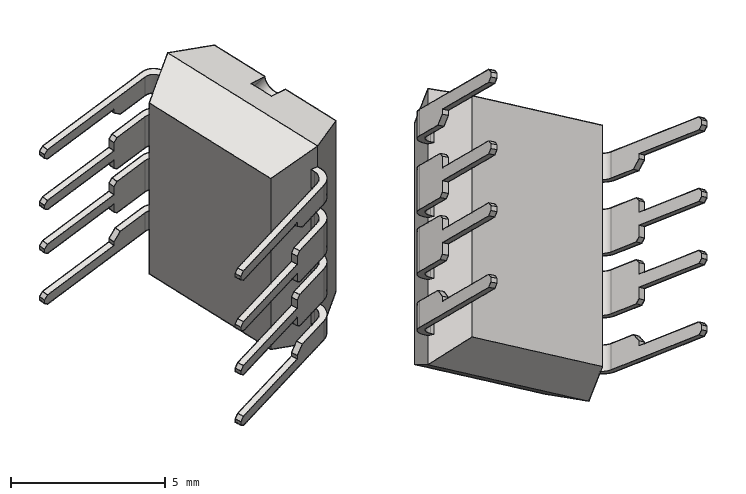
import cadquery as cq
import math

BODY_WIDTH = 6.35
BODY_LENGTH = 9.5
BODY_HALF_THICKNESS = 1.65
DRAFT_ANGLE = 20.0

NOTCH_WIDTH = 0.86
NOTCH_DEPTH = 0.7

LEAD_THICKNESS = 0.23
LEAD_SPLAY_ANGLE = 5.0
LEAD_SPAN = 8.53
LEAD_DROP = 5.2
LEAD_EMBED = 0.5
BEND_OUTER_RADIUS = 0.54
BEND_INNER_RADIUS = 0.4

SHOULDER_DROP = 2.02
PIN_WIDTH = 0.45
PIN_CHAMFER = 0.14
INNER_PAD_WIDTH = 1.52
INNER_PAD_CHAMFER = 0.14
CORNER_PAD_WIDTH = 0.91
CORNER_PAD_CHAMFER = 0.29

INNER_LEAD_Z = 1.065
CORNER_LEAD_OUTER_Z = 3.75

splay = math.radians(LEAD_SPLAY_ANGLE)
taper_inset = BODY_HALF_THICKNESS * math.tan(math.radians(DRAFT_ANGLE))
shoulder_up = (LEAD_DROP - SHOULDER_DROP) / math.cos(splay)
tip_outer_x = LEAD_SPAN / 2
tip_outer_y = -LEAD_DROP + LEAD_THICKNESS * math.sin(splay)
tip_inner_x = tip_outer_x - LEAD_THICKNESS * math.cos(splay)


def make_body():
    """Block tapering from the parting plane towards both +Y and -Y."""
    lower_half = (
        cq.Workplane("XZ")
        .rect(BODY_WIDTH, BODY_LENGTH)
        .extrude(BODY_HALF_THICKNESS, taper=DRAFT_ANGLE)
    )
    return lower_half.union(lower_half.mirror("XZ"))


def make_notch():
    """Round-ended slot, open at the +Y face and the +Z end."""
    round_z = BODY_LENGTH / 2 - taper_inset
    floor_y = BODY_HALF_THICKNESS - NOTCH_DEPTH
    round_end = (
        cq.Workplane("XZ", origin=(0, floor_y, round_z))
        .circle(NOTCH_WIDTH / 2)
        .extrude(-NOTCH_DEPTH)
    )
    channel = cq.Workplane("XY").box(
        NOTCH_WIDTH, NOTCH_DEPTH, taper_inset, centered=(True, False, False)
    )
    return round_end.union(channel.translate((0, floor_y, round_z)))


def make_strip():
    """Bent strip on the +X side, wide enough along Z for the widest pad."""
    root_x = BODY_WIDTH / 2 - LEAD_EMBED
    outer_corner_x = tip_outer_x + tip_outer_y * math.tan(splay)
    inner_corner_x = tip_inner_x - (LEAD_DROP - LEAD_THICKNESS) * math.tan(splay)
    strip = (
        cq.Workplane("XY")
        .moveTo(root_x, 0)
        .lineTo(outer_corner_x, 0)
        .lineTo(tip_outer_x, tip_outer_y)
        .lineTo(tip_inner_x, -LEAD_DROP)
        .lineTo(inner_corner_x, -LEAD_THICKNESS)
        .lineTo(root_x, -LEAD_THICKNESS)
        .close()
        .extrude(INNER_PAD_WIDTH, both=True)
    )
    strip = strip.edges(cq.NearestToPointSelector((outer_corner_x, 0, 0))).fillet(BEND_OUTER_RADIUS)
    inner_corner = (inner_corner_x, -LEAD_THICKNESS, 0)
    return strip.edges(cq.NearestToPointSelector(inner_corner)).fillet(BEND_INNER_RADIUS)


def cut_to_outline(strip, outline):
    """Trim a strip to an outline of (distance up the leg from its tip, Z) points."""
    leg_plane = cq.Plane(
        origin=(tip_inner_x, -LEAD_DROP, 0),
        xDir=(-math.sin(splay), math.cos(splay), 0),
        normal=(math.cos(splay), math.sin(splay), 0),
    )
    prism = cq.Workplane(leg_plane).polyline(outline).close().extrude(LEAD_SPAN, both=True)
    return strip.intersect(prism)


def pin_tip():
    """Chamfered end of the pin, from its -Z side to its +Z side."""
    half_pin = PIN_WIDTH / 2
    half_flat = half_pin - PIN_CHAMFER
    return [(PIN_CHAMFER, -half_pin), (0, -half_flat), (0, half_flat), (PIN_CHAMFER, half_pin)]


def shoulder(pad_edge, chamfer, side):
    """One side of a pad from the pin outwards; side is +1 for +Z and -1 for -Z."""
    return [
        (shoulder_up, side * PIN_WIDTH / 2),
        (shoulder_up, side * (pad_edge - chamfer)),
        (shoulder_up + chamfer, side * pad_edge),
        (LEAD_SPAN, side * pad_edge),
    ]


def make_inner_lead(strip):
    """Lead with its pin in the middle of the pad, pin centred on Z = 0."""
    upper = shoulder(INNER_PAD_WIDTH / 2, INNER_PAD_CHAMFER, 1)
    lower = shoulder(INNER_PAD_WIDTH / 2, INNER_PAD_CHAMFER, -1)
    return cut_to_outline(strip, lower[::-1] + pin_tip() + upper)


def make_corner_lead(strip):
    """Lead with its pin flush with the pad's +Z edge, pin centred on Z = 0."""
    lower = shoulder(CORNER_PAD_WIDTH - PIN_WIDTH / 2, CORNER_PAD_CHAMFER, -1)
    upper = [(LEAD_SPAN, PIN_WIDTH / 2)]
    return cut_to_outline(strip, lower[::-1] + pin_tip() + upper)


def make_part():
    """Body with its notch, and four leads along each side."""
    strip = make_strip()
    corner_lead_z = CORNER_LEAD_OUTER_Z - PIN_WIDTH / 2
    part = make_body().cut(make_notch())
    for lead, lead_z in (
        (make_inner_lead(strip), INNER_LEAD_Z),
        (make_corner_lead(strip), corner_lead_z),
    ):
        placed = lead.translate((0, 0, lead_z))
        pair = placed.union(placed.mirror("XY"))
        part = part.union(pair).union(pair.mirror("YZ"))
    return part


result = make_part()